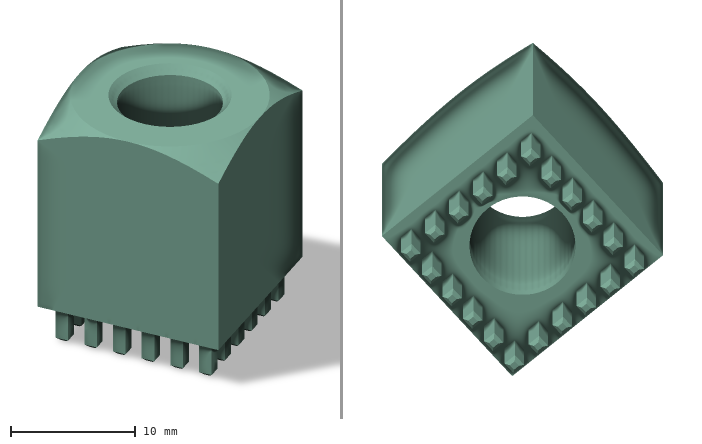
import cadquery as cq
import math

total_height = 21.0
block_side = 16.0
pin_length = 3.5
block_height = total_height - pin_length

top_cone_angle = 30.0
top_flat_diameter = block_side

bore_diameter = 8.5
countersink = 0.7

pins_per_side = 6
pin_pitch = 2.55
pin_width = 1.11
pin_tip_chamfer = 0.3


def make_block():
    """Block standing on Z = 0, its top corners trimmed by a cone."""
    block = cq.Workplane("XY").box(block_side, block_side, block_height, centered=(True, True, False))
    flat_radius = top_flat_diameter / 2
    envelope_radius = block_side
    cone_drop = (envelope_radius - flat_radius) * math.tan(math.radians(top_cone_angle))
    envelope = (
        cq.Workplane("XZ")
        .moveTo(0, 0)
        .lineTo(envelope_radius, 0)
        .lineTo(envelope_radius, block_height - cone_drop)
        .lineTo(flat_radius, block_height)
        .lineTo(0, block_height)
        .close()
        .revolve(360, (0, 0, 0), (0, 1, 0))
    )
    return block.intersect(envelope)


def cut_bore(block):
    """Through bore with a countersunk mouth."""
    bored = block.faces(">Z").workplane(centerOption="CenterOfBoundBox").hole(bore_diameter)
    bore_mouth = bored.faces(">Z").edges(cq.selectors.RadiusNthSelector(0))
    return bore_mouth.chamfer(countersink)


def pin_positions():
    """Centres of the outer ring of a square pin grid."""
    last = pins_per_side - 1
    first_offset = -pin_pitch * last / 2
    return [
        (first_offset + column * pin_pitch, first_offset + row * pin_pitch)
        for column in range(pins_per_side)
        for row in range(pins_per_side)
        if column in (0, last) or row in (0, last)
    ]


def make_pins():
    """Square pins hanging below Z = 0 with chamfered tips."""
    return (
        cq.Workplane("XY")
        .pushPoints(pin_positions())
        .rect(pin_width, pin_width)
        .extrude(-pin_length)
        .faces("<Z")
        .edges()
        .chamfer(pin_tip_chamfer)
    )


result = cut_bore(make_block()).union(make_pins())